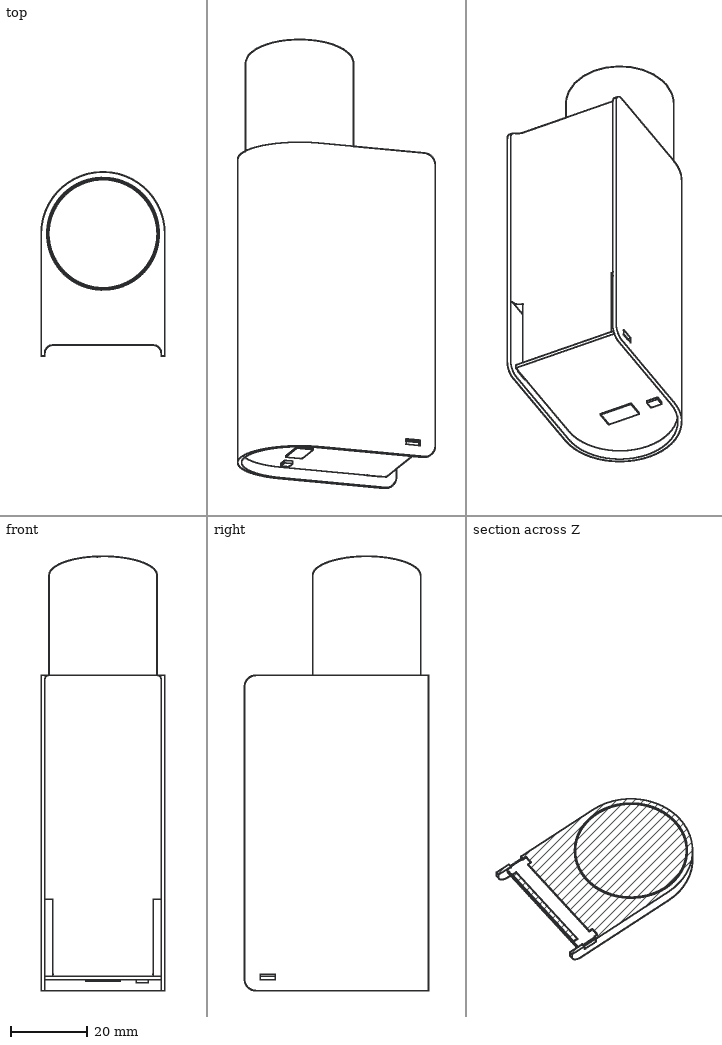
import cadquery as cq

width = 32.4
depth = 48.3
total_height = 113.8
housing_height = 82.6
wall = 1.0

wing_reach = 2.8
wing_corner_radius = 3.1
cove_radius = 2.0
groove_height = 24.0
groove_depth = 6.3

plate_bottom = 2.8
plate_thickness = 1.0
tab_length = 3.9
tab_setback = 4.2
tab_recess = 0.8
tab_clearance = 0.5

bore_diameter = 29.5
flange_diameter = 29.1
flange_height = 2.3
shaft_diameter = 28.3
dome_height = 5.0

wide_pad = (9.1, 4.5, 0.3)
small_pad = (3.2, 2.3, 0.7)
small_pad_x = 10.2

outer_radius = width / 2
inner_radius = outer_radius - wall
wing_front = outer_radius - depth
front_face = wing_front + wing_reach
plate_top = plate_bottom + plate_thickness
tab_span = width - 2 * tab_recess
tab_center_y = wing_front + tab_setback + tab_length / 2


def d_shape(radius, front, bottom, top):
    """Upright block with a round back of the given radius and a flat front."""
    return (
        cq.Workplane("XY", origin=(0, 0, bottom))
        .moveTo(-radius, front)
        .lineTo(-radius, 0)
        .threePointArc((0, radius), (radius, 0))
        .lineTo(radius, front)
        .close()
        .extrude(top - bottom)
    )


def box(size_x, size_y, size_z, center_x, center_y, bottom):
    """Axis-aligned box standing on the given height."""
    return (
        cq.Workplane("XY", origin=(center_x, center_y, bottom))
        .box(size_x, size_y, size_z, centered=(True, True, False))
    )


def front_recess():
    """Space between the wings, with coved inner corners."""
    return (
        box(2 * inner_radius, 2 * wing_reach, housing_height, 0, wing_front, 0)
        .edges("|Z and >Y")
        .fillet(cove_radius)
    )


def wing_grooves():
    """Grooves that free the lower part of each wing from the block."""
    grooves = cq.Workplane("XY")
    for side in (-1, 1):
        grooves = grooves.add(
            box(
                cove_radius,
                wing_reach + groove_depth,
                groove_height,
                side * (inner_radius - cove_radius / 2),
                wing_front + (wing_reach + groove_depth) / 2,
                0,
            )
        )
    return grooves.combine()


def make_housing():
    """Round-backed housing with front wings, a through bore and a seat for the base plate."""
    body = d_shape(outer_radius, wing_front, 0, housing_height)
    body = body.edges("|X and <Y").fillet(wing_corner_radius)
    body = body.cut(front_recess()).cut(wing_grooves())
    base_recess = d_shape(inner_radius, wing_front, 0, plate_top)
    tab_slots = box(width, tab_length, plate_thickness + tab_clearance, 0, tab_center_y, plate_bottom)
    bore = cq.Workplane("XY").circle(bore_diameter / 2).extrude(housing_height)
    return body.cut(base_recess).cut(tab_slots).cut(bore)


def make_pad(size, center_x):
    """Small raised block under the base plate."""
    return box(*size, center_x, 0, plate_bottom - size[2])


def make_base_plate():
    """Plate closing the base, with side snap tabs and two pads underneath."""
    plate = d_shape(inner_radius, front_face, plate_bottom, plate_top)
    tabs = box(tab_span, tab_length, plate_thickness, 0, tab_center_y, plate_bottom)
    plate = plate.union(tabs)
    return plate.union(make_pad(wide_pad, 0)).union(make_pad(small_pad, small_pad_x))


def make_capsule():
    """Domed cylinder with a guide flange, standing on the base plate."""
    shaft_radius = shaft_diameter / 2
    shoulder = total_height - dome_height
    shaft = cq.Workplane("XY", origin=(0, 0, plate_top)).circle(shaft_radius).extrude(shoulder - plate_top)
    flange = cq.Workplane("XY", origin=(0, 0, plate_top)).circle(flange_diameter / 2).extrude(flange_height)
    dome = (
        cq.Workplane("XZ")
        .moveTo(0, shoulder)
        .lineTo(shaft_radius, shoulder)
        .ellipseArc(shaft_radius, dome_height, 0, 90, startAtCurrent=True)
        .close()
        .revolve(360, (0, 0, 0), (0, 1, 0))
    )
    return shaft.union(flange).union(dome)


housing = make_housing()
base_plate = make_base_plate()
capsule = make_capsule()

result = cq.Compound.makeCompound([housing.val(), base_plate.val(), capsule.val()])